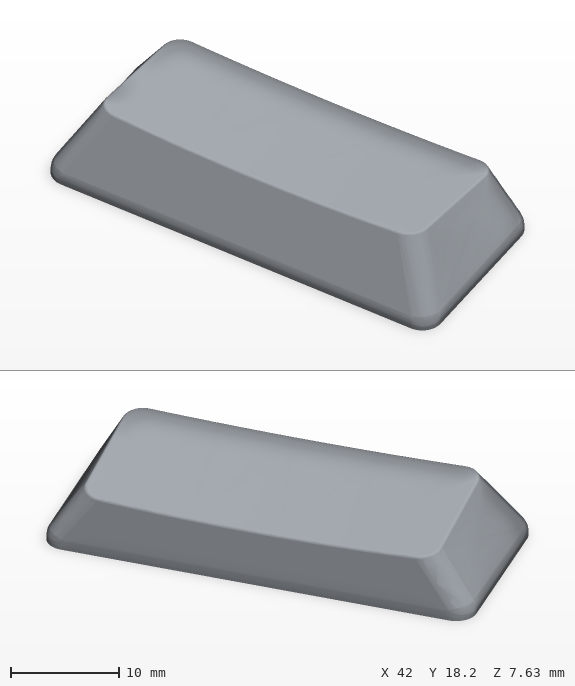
import cadquery as cq
import math

LENGTH = 41.97
WIDTH = 18.16
CORNER_RADIUS = 2.0

SKIRT_HEIGHT = 1.0
SHOULDER_RADIUS = 1.5

TOP_TILT = 7.0
DISH_RADIUS = 300.0
DISH_CENTRE_HEIGHT = 6.55
RIM_RADIUS = 0.3

SIDE_INSET = 3.7
FRONT_INSET = 3.6
BACK_INSET = 0.52
TRIM_ALLOWANCE = 0.1

SELECTION_MARGIN = 0.1

upper_length = LENGTH - 2 * SIDE_INSET
upper_width = WIDTH - FRONT_INSET - BACK_INSET
upper_centre_y = (FRONT_INSET - BACK_INSET) / 2
dish_depth = DISH_RADIUS - math.sqrt(DISH_RADIUS**2 - (upper_length / 2) ** 2)
upper_plane_height = DISH_CENTRE_HEIGHT + dish_depth + TRIM_ALLOWANCE


def rounded_rectangle(length, width):
    """Outline with rounded corners, centred on the origin."""
    return cq.Sketch().rect(length, width).vertices().fillet(CORNER_RADIUS)


def make_walls():
    """Upright skirt topped by leaning walls, with a rounded shoulder between them."""
    footprint = rounded_rectangle(LENGTH, WIDTH)
    skirt = cq.Workplane("XY").placeSketch(footprint).extrude(SKIRT_HEIGHT)

    tilt = math.radians(TOP_TILT)
    upper_centre = cq.Vector(0, upper_centre_y, upper_plane_height - upper_centre_y * math.tan(tilt))
    upper_outline = rounded_rectangle(upper_length, upper_width / math.cos(tilt)).moved(
        cq.Location(upper_centre, cq.Vector(1, 0, 0), -TOP_TILT)
    )
    shoulder_outline = footprint.moved(cq.Location(cq.Vector(0, 0, SKIRT_HEIGHT)))
    walls = cq.Workplane("XY").placeSketch(shoulder_outline, upper_outline).loft(ruled=True)

    shoulder = cq.selectors.BoxSelector(
        (-LENGTH, -WIDTH, SKIRT_HEIGHT - SELECTION_MARGIN),
        (LENGTH, WIDTH, SKIRT_HEIGHT + SELECTION_MARGIN),
    )
    return skirt.union(walls).edges(shoulder).fillet(SHOULDER_RADIUS)


def make_dish_cutter():
    """Cylinder lying along the tilted top, removing everything above the dished face."""
    return (
        cq.Workplane("XZ")
        .circle(DISH_RADIUS)
        .extrude(WIDTH, both=True)
        .translate((0, 0, DISH_RADIUS))
        .rotate((0, 0, 0), (1, 0, 0), -TOP_TILT)
        .translate((0, 0, DISH_CENTRE_HEIGHT))
    )


def make_keycap():
    """Walls trimmed by the dish, with the rim of the dish rounded over."""
    body = make_walls().cut(make_dish_cutter())
    return body.faces(">Z").edges().fillet(RIM_RADIUS)


result = make_keycap()